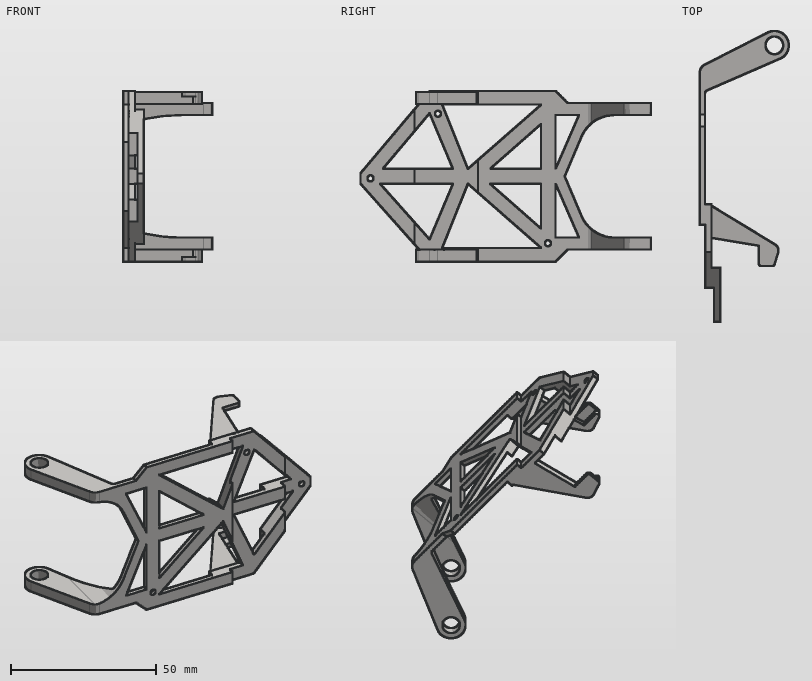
import cadquery as cq
import math

length = 100.3
half_width = 29.5
back_plate = 1.9
back_plate_end = 33.4
middle_front = 4.1
middle_start = 11.7
middle_end = 40.5
nose_back = 4.9
nose_front = 7.1
nose_plate_end = 18.7

arm_half_span = 25.3
arm_thickness = 4.2
arm_inner = arm_half_span - arm_thickness
pivot_radius = 5.0
pivot_hole_diameter = 6.0
pivot_x = 25.8
pivot_y = length - pivot_radius
arm_outer_y = 87.8
arm_inner_y = 79.4
arm_corner_fillet = 3.3
arm_root_fillet = 1.0

side_front_y = 24.1
side_back_y = 67.3
shoulder_y = 71.5
neck_y = 70.5
neck_corner_y = 79.4
neck_fillet = 12.0
nose_vertex_y = -1.5
nose_vertex_z = -0.8
nose_fillet = 2.8

rib_half = 2.6
rail_inner = 24.7
cross_bar_front = 62.3

pin_diameter = 2.0
pin_places = [(26.8, 21.6), (3.5, -0.7), (64.7, -23.1)]

hook_thickness = 4.2
hook_root_y = (28.9, 40.0)
hook_bottoms = {1: 24.9, -1: -half_width}
hook_skin = 1.6
hook_end_y = 19.2
hook_mouth_x = 20.4
hook_mouth_y = 26.2
hook_lip_x = 24.1
hook_tip = (27.7, 25.7)
hook_end_x = 25.7
hook_tip_fillet = 2.5
hook_edge_fillet = 1.0
hook_lip_fillet = 0.8


def tangent_point(x, y, side):
    """Point on the pivot boss touched by a line from (x, y); side is +1 or -1."""
    reach_x = pivot_x - x
    reach_y = pivot_y - y
    spread = math.asin(pivot_radius / math.hypot(reach_x, reach_y))
    normal = math.atan2(reach_y, reach_x) + side * (spread + math.pi / 2)
    return (
        pivot_x + pivot_radius * math.cos(normal),
        pivot_y + pivot_radius * math.sin(normal),
    )


def make_edge_profile():
    """Stepped plates and angled arm, extruded across the full width."""
    profile = (
        cq.Workplane("XY", origin=(0, 0, -half_width))
        .moveTo(0, back_plate_end)
        .lineTo(0, arm_outer_y)
        .lineTo(*tangent_point(0, arm_outer_y, 1))
        .threePointArc(
            (pivot_x + pivot_radius, pivot_y),
            tangent_point(back_plate, arm_inner_y, -1),
        )
        .lineTo(back_plate, arm_inner_y)
        .lineTo(back_plate, middle_end)
        .lineTo(middle_front, middle_end)
        .lineTo(middle_front, nose_plate_end)
        .lineTo(nose_front, nose_plate_end)
        .lineTo(nose_front, 0)
        .lineTo(nose_back, 0)
        .lineTo(nose_back, middle_start)
        .lineTo(back_plate, middle_start)
        .lineTo(back_plate, back_plate_end)
        .close()
        .extrude(2 * half_width)
    )
    outer = cq.selectors.NearestToPointSelector((0, arm_outer_y, 0))
    inner = cq.selectors.NearestToPointSelector((back_plate, arm_inner_y, 0))
    return profile.edges(outer).fillet(arm_corner_fillet).edges(inner).fillet(arm_root_fillet)


def through_prism(points):
    """Prism on (Y, Z) points running through the whole X depth."""
    return cq.Workplane("YZ").polyline(points).close().extrude(pivot_x + pivot_radius)


def make_face_outline():
    outline = through_prism([
        (nose_vertex_y, nose_vertex_z),
        (side_front_y, half_width),
        (side_back_y, half_width),
        (shoulder_y, arm_half_span),
        (length, arm_half_span),
        (length, arm_inner),
        (neck_corner_y, arm_inner),
        (neck_y, 0),
        (neck_corner_y, -arm_inner),
        (length, -arm_inner),
        (length, -arm_half_span),
        (shoulder_y, -arm_half_span),
        (side_back_y, -half_width),
        (side_front_y, -half_width),
    ])
    for side in (1, -1):
        corner = cq.selectors.NearestToPointSelector((pivot_x / 2, neck_corner_y, side * arm_inner))
        outline = outline.edges(corner).fillet(neck_fillet)
    nose = cq.selectors.NearestToPointSelector((pivot_x / 2, nose_vertex_y, nose_vertex_z))
    return outline.edges(nose).fillet(nose_fillet)


def cut_windows(body):
    windows = [
        [(75.3, arm_inner), (side_back_y, arm_inner), (side_back_y, rib_half)],
        [(cross_bar_front, 18.0), (44.8, rib_half), (cross_bar_front, rib_half)],
        [(cross_bar_front, rail_inner), (28.3, rail_inner), (37.1, rib_half)],
    ]
    for side in (1, -1):
        nose_window_tip = 7.8 if side > 0 else 6.9
        nose_window = [(23.9, 21.7), (nose_window_tip, rib_half), (31.9, rib_half)]
        for window in windows + [nose_window]:
            body = body.cut(through_prism([(y, side * z) for y, z in window]))
    return body


def make_hook(side):
    """Hook on the front face; its mouth is recessed up to an outer skin."""
    bottom = hook_bottoms[side]
    root_low, root_high = hook_root_y
    hook = (
        cq.Workplane("XY", origin=(0, 0, bottom))
        .polyline([
            (back_plate, root_low),
            (middle_front, root_low),
            (hook_mouth_x, hook_mouth_y),
            (hook_mouth_x, hook_end_y),
            (hook_end_x, hook_end_y),
            hook_tip,
            (middle_front, root_high),
            (back_plate, root_high),
        ])
        .close()
        .extrude(hook_thickness)
    )
    rounded = [
        (*hook_tip, hook_tip_fillet),
        (hook_end_x, hook_end_y, hook_edge_fillet),
        (hook_mouth_x, hook_end_y, hook_edge_fillet),
    ]
    middle_z = bottom + hook_thickness / 2
    for x, y, radius in rounded:
        hook = hook.edges(cq.selectors.NearestToPointSelector((x, y, middle_z))).fillet(radius)

    recess_depth = hook_thickness - hook_skin
    recess_bottom = bottom if side > 0 else bottom + hook_skin
    edge_slope = (hook_mouth_y - root_low) / (hook_mouth_x - middle_front)
    recess = (
        cq.Workplane("XY", origin=(0, 0, recess_bottom))
        .polyline([
            (hook_mouth_x, hook_end_y),
            (hook_mouth_x, hook_mouth_y),
            (hook_lip_x, hook_mouth_y + edge_slope * (hook_lip_x - hook_mouth_x)),
            (hook_lip_x, hook_end_y),
        ])
        .close()
        .extrude(recess_depth)
    )
    hook = hook.cut(recess)
    lip_z = recess_bottom + recess_depth / 2
    lip_edge = cq.selectors.NearestToPointSelector((hook_lip_x, hook_end_y, lip_z))
    return hook.edges(lip_edge).fillet(hook_lip_fillet)


frame = cut_windows(make_edge_profile().intersect(make_face_outline()))

pins = cq.Workplane("YZ").pushPoints(pin_places).circle(pin_diameter / 2).extrude(nose_front)
pivot_bore = (
    cq.Workplane("XY", origin=(0, 0, -half_width))
    .center(pivot_x, pivot_y)
    .circle(pivot_hole_diameter / 2)
    .extrude(2 * half_width)
)

result = frame.cut(pins).cut(pivot_bore).union(make_hook(1)).union(make_hook(-1))